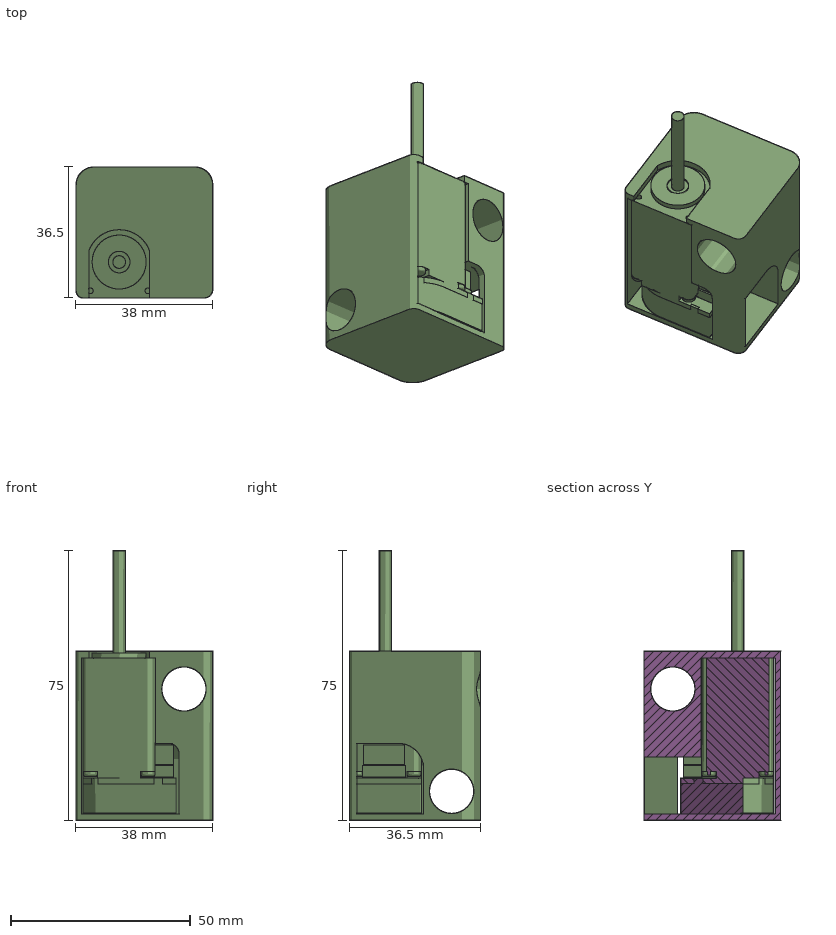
import cadquery as cq
import math


HOUSING_X = 38.0
HOUSING_Y = 36.45
HOUSING_Z = 47.0
BACK_CORNER_RADIUS = 5.0
LEFT_FRONT_RADIUS = 2.0
RIGHT_FRONT_RADIUS = 2.5
ROD_HOLE_DIAMETER = 12.2
FRONT_HOLE_X = 30.0
FRONT_HOLE_Z = 36.5
SIDE_HOLE_Y = 28.4
SIDE_HOLE_Z = 8.1

MOTOR_WIDTH = 20.0
MOTOR_CORNER_RADIUS = 2.0
AXIS_X = 12.0
AXIS_Y = MOTOR_WIDTH / 2
MOTOR_BOTTOM = 11.8
MOTOR_TOP = 45.1
BOSS_DIAMETER = 15.0
BOSS_HEIGHT = 1.5
BOSS_RECESS_DIAMETER = 6.0
BOSS_RECESS_DEPTH = 0.4
SHAFT_DIAMETER = 3.5
SHAFT_TOP = 75.0
SCREW_OFFSET = MOTOR_WIDTH / 2 - MOTOR_CORNER_RADIUS
SCREW_HOLE_DIAMETER = 1.6
SCREW_HOLE_DEPTH = 2.25
NOTCH_SIZE = 4.05
NOTCH_HEIGHT = 1.8
SCREW_HEAD_DIAMETER = 3.9
SCREW_HEAD_HEIGHT = 1.4
SCREW_HEAD_FILLET = 0.7

CONNECTOR_RIGHT = 27.1
CONNECTOR_FRONT = 3.6
CONNECTOR_DEPTH = 12.0
CONNECTOR_GAP = 0.3
CONNECTOR_TOP = 21.0
PLUG_SETBACK = 0.3
PLUG_BOTTOM = 15.5
JOINT_WIDTH = 0.2
JOINT_DEPTH = 0.75

ENCODER_RIGHT = 27.8
PLATE_THICKNESS = 1.6
PLATE_BOTTOM = MOTOR_BOTTOM - PLATE_THICKNESS
COVER_EDGE = 0.2
TAB_WIDTH = 2.4
TAB_DEPTH = 0.75
STRAIGHT_TAB_OFFSET = 10.9
ROUND_TAB_ANGLE = 133.0

FLOOR_Z = 1.8
CAVITY_LEFT = 1.6
CAVITY_RIGHT = 22.05
CAVITY_BACK = 20.6
BOSS_SLOT_WIDTH = 16.8
BOSS_SLOT_RADIUS = 9.0
OPENING_RIGHT = 28.65
OPENING_TOP = 21.45
OPENING_CORNER_RADIUS = 3.0
WINDOW_FRONT_WALL = 2.1
WINDOW_CORNER_RADIUS = 7.05


def box(x0, x1, y0, y1, z0, z1):
    """Box between two corners."""
    return cq.Workplane("XY").box(x1 - x0, y1 - y0, z1 - z0, centered=False).translate((x0, y0, z0))


def axis_cylinder(diameter, z0, z1):
    """Cylinder on the motor axis."""
    return cq.Workplane("XY", origin=(AXIS_X, AXIS_Y, z0)).circle(diameter / 2).extrude(z1 - z0)


def rod_hole(plane, origin, length):
    """Cutter for a guide rod hole through the whole block."""
    return cq.Workplane(plane, origin=origin).circle(ROD_HOLE_DIAMETER / 2).extrude(length)


def boss_slot():
    """Slot in the top wall, open to the front and rounded behind the boss."""
    straight = box(
        AXIS_X - BOSS_SLOT_WIDTH / 2, AXIS_X + BOSS_SLOT_WIDTH / 2,
        0, AXIS_Y + BOSS_SLOT_RADIUS, MOTOR_TOP, HOUSING_Z,
    )
    disc = axis_cylinder(2 * BOSS_SLOT_RADIUS, MOTOR_TOP, HOUSING_Z)
    front_part = box(0, HOUSING_X, 0, AXIS_Y, MOTOR_TOP, HOUSING_Z)
    return straight.intersect(disc.union(front_part))


def connector_opening():
    """Cutter for the front opening beside the motor and the window through the right side."""
    front_opening = (
        box(CAVITY_LEFT, OPENING_RIGHT, 0, CAVITY_BACK, FLOOR_Z, OPENING_TOP)
        .edges("|Y and >X and >Z").fillet(OPENING_CORNER_RADIUS)
    )
    window = box(CAVITY_LEFT, HOUSING_X, WINDOW_FRONT_WALL, CAVITY_BACK, FLOOR_Z, OPENING_TOP)
    window = window.edges("|X and >Y and >Z").fillet(WINDOW_CORNER_RADIUS)
    front_opening = front_opening.intersect(box(0, HOUSING_X, 0, WINDOW_FRONT_WALL, 0, HOUSING_Z))
    return front_opening.union(window)


def make_housing():
    block = box(0, HOUSING_X, 0, HOUSING_Y, 0, HOUSING_Z)
    block = block.edges("|Z and >Y").fillet(BACK_CORNER_RADIUS)
    block = block.edges("|Z and <Y and <X").fillet(LEFT_FRONT_RADIUS)
    block = block.edges("|Z and <Y and >X").fillet(RIGHT_FRONT_RADIUS)
    block = block.cut(rod_hole("XZ", (FRONT_HOLE_X, HOUSING_Y, FRONT_HOLE_Z), HOUSING_Y))
    block = block.cut(rod_hole("YZ", (0, SIDE_HOLE_Y, SIDE_HOLE_Z), HOUSING_X))
    block = block.cut(box(CAVITY_LEFT, CAVITY_RIGHT, 0, CAVITY_BACK, FLOOR_Z, MOTOR_TOP))
    return block.cut(boss_slot()).cut(connector_opening())


def encoder_prism(z0, z1):
    """Encoder outline, round about the motor axis on the left and square on the right."""
    radius = MOTOR_WIDTH / 2
    return (
        cq.Workplane("XY", origin=(0, 0, z0))
        .moveTo(AXIS_X, 0)
        .lineTo(ENCODER_RIGHT, 0)
        .lineTo(ENCODER_RIGHT, MOTOR_WIDTH)
        .lineTo(AXIS_X, MOTOR_WIDTH)
        .threePointArc((AXIS_X - radius, AXIS_Y), (AXIS_X, 0))
        .close()
        .extrude(z1 - z0)
    )


def cover_tabs():
    """Four tabs at the rim of the encoder: two on the straight sides, two on the round end."""
    radius = MOTOR_WIDTH / 2
    angle = math.radians(ROUND_TAB_ANGLE)
    round_x = radius * math.cos(angle)
    round_y = radius * math.sin(angle)
    tabs = cq.Workplane("XY")
    for side in (-1, 1):
        places = (
            (STRAIGHT_TAB_OFFSET, side * radius, 90),
            (round_x, side * round_y, side * ROUND_TAB_ANGLE),
        )
        for x, y, turn in places:
            tab = (
                cq.Workplane("XY")
                .box(2 * TAB_DEPTH, TAB_WIDTH, PLATE_THICKNESS, centered=(True, True, False))
                .rotate((0, 0, 0), (0, 0, 1), turn)
                .translate((AXIS_X + x, AXIS_Y + y, PLATE_BOTTOM))
            )
            tabs = tabs.add(tab)
    return encoder_prism(PLATE_BOTTOM, MOTOR_BOTTOM).intersect(tabs.combine())


def make_connector():
    """Header with a plug on top, a narrow groove around the joint between them."""
    back = CONNECTOR_FRONT + CONNECTOR_DEPTH
    bottom = MOTOR_BOTTOM + CONNECTOR_GAP
    header_top = PLUG_BOTTOM - JOINT_WIDTH
    header = box(AXIS_X, CONNECTOR_RIGHT, CONNECTOR_FRONT, back, bottom, header_top)
    plug = box(
        AXIS_X, CONNECTOR_RIGHT, CONNECTOR_FRONT + PLUG_SETBACK, back - PLUG_SETBACK,
        PLUG_BOTTOM, CONNECTOR_TOP,
    )
    joint = box(
        AXIS_X, CONNECTOR_RIGHT - JOINT_DEPTH, CONNECTOR_FRONT + JOINT_DEPTH, back - JOINT_DEPTH,
        header_top, PLUG_BOTTOM,
    )
    return header.union(joint).union(plug)


def screw_points(z):
    """Workplane at height z with a point at each of the four motor corners."""
    spacing = 2 * SCREW_OFFSET
    plane = cq.Workplane("XY", origin=(AXIS_X, AXIS_Y, z))
    return plane.rect(spacing, spacing, forConstruction=True).vertices()


def make_motor():
    """Motor with boss, shaft, screws, connector and the encoder plate under it."""
    left = AXIS_X - MOTOR_WIDTH / 2
    body = box(left, left + MOTOR_WIDTH, 0, MOTOR_WIDTH, MOTOR_BOTTOM, MOTOR_TOP)
    body = body.edges("|Z").fillet(MOTOR_CORNER_RADIUS)
    holes = screw_points(MOTOR_TOP).circle(SCREW_HOLE_DIAMETER / 2).extrude(-SCREW_HOLE_DEPTH)
    notches = screw_points(MOTOR_BOTTOM).rect(NOTCH_SIZE, NOTCH_SIZE).extrude(NOTCH_HEIGHT)
    body = body.cut(holes).cut(notches).union(make_connector())

    notch_top = MOTOR_BOTTOM + NOTCH_HEIGHT
    heads = screw_points(notch_top).circle(SCREW_HEAD_DIAMETER / 2).extrude(-SCREW_HEAD_HEIGHT)
    heads = heads.faces("<Z").edges().fillet(SCREW_HEAD_FILLET)

    boss_top = MOTOR_TOP + BOSS_HEIGHT
    recess_floor = boss_top - BOSS_RECESS_DEPTH
    boss = axis_cylinder(BOSS_DIAMETER, MOTOR_TOP, boss_top)
    boss = boss.cut(axis_cylinder(BOSS_RECESS_DIAMETER, recess_floor, boss_top))
    shaft = axis_cylinder(SHAFT_DIAMETER, recess_floor, SHAFT_TOP)

    plate = encoder_prism(PLATE_BOTTOM, MOTOR_BOTTOM).cut(cover_tabs())
    return body.union(heads).union(boss).union(shaft).union(plate)


def make_cover():
    """Encoder cover whose tabs reach up into the notches of the encoder plate."""
    cover = encoder_prism(FLOOR_Z, PLATE_BOTTOM)
    cover = cover.edges("|Z and >X").fillet(COVER_EDGE)
    cover = cover.faces("<Z").edges().chamfer(COVER_EDGE)
    return cover.union(cover_tabs())


housing = make_housing()
motor = make_motor()
cover = make_cover()

result = cq.Compound.makeCompound([
    housing.solids().val(),
    motor.solids().val(),
    cover.solids().val(),
])